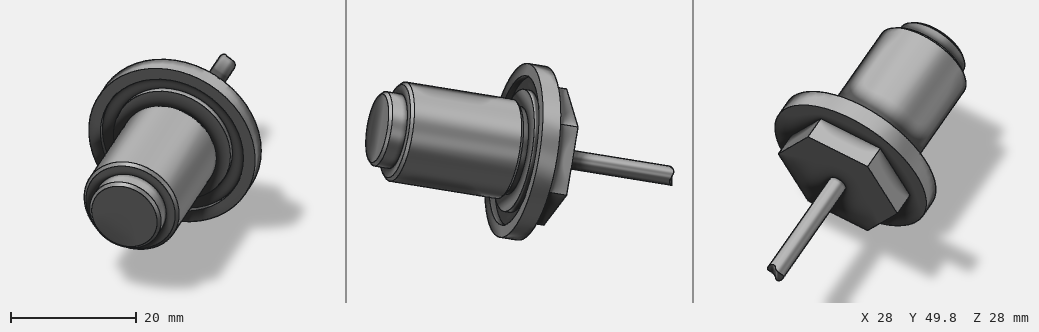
import cadquery as cq
import math


total_length = 49.8
flange_thickness = 3.0
hex_thickness = 4.0
neck_length = 1.0
barrel_front = 20.0
tip_length = 3.0
chamfer = 0.5

flange_diameter = 28.0
groove_outer_diameter = 24.05
groove_inner_diameter = 19.65
barrel_diameter = 16.0
neck_diameter = 14.15
tip_diameter = 12.0
cable_diameter = 3.0

groove_depth = 1.0
hex_across_flats = 19.0
break_wave_height = 0.4

hex_back = flange_thickness + hex_thickness
tip_front = -(barrel_front + tip_length)
cable_end = tip_front + total_length


def cylinder(diameter, start, end):
    """Cylinder on the Y axis between two Y positions, start < end."""
    return cq.Workplane("XZ", origin=(0, end, 0)).circle(diameter / 2).extrude(end - start)


def make_hex():
    """Wrench hexagon with two corners on the X axis."""
    across_corners = hex_across_flats / math.cos(math.radians(30))
    return (
        cq.Workplane("XZ", origin=(0, hex_back, 0))
        .polygon(6, across_corners)
        .extrude(hex_thickness)
    )


def make_flange():
    """Round flange with an annular seal groove in its front face."""
    groove = cylinder(groove_outer_diameter, 0, groove_depth).cut(
        cylinder(groove_inner_diameter, 0, groove_depth)
    )
    return cylinder(flange_diameter, 0, flange_thickness).cut(groove)


def make_housing():
    neck = cylinder(neck_diameter, -neck_length, 0)
    barrel = cylinder(barrel_diameter, -barrel_front, -neck_length).edges().chamfer(chamfer)
    tip = cylinder(tip_diameter, tip_front, -barrel_front).faces("<Y").edges().chamfer(chamfer)
    return make_flange().union(make_hex()).union(neck).union(barrel).union(tip)


def make_cable():
    """Cable butting against the hexagon, with an S-shaped broken end."""
    radius = cable_diameter / 2
    break_middle = cable_end - break_wave_height
    break_outline = (
        cq.Workplane("XY")
        .moveTo(-radius, hex_back)
        .lineTo(-radius, break_middle)
        .threePointArc((-radius / 2, cable_end), (0, break_middle))
        .threePointArc((radius / 2, break_middle - break_wave_height), (radius, break_middle))
        .lineTo(radius, hex_back)
        .close()
        .extrude(radius, both=True)
    )
    return cylinder(cable_diameter, hex_back, cable_end).intersect(break_outline)


housing = make_housing()
cable = make_cable()

result = cq.Compound.makeCompound([housing.val(), cable.val()])